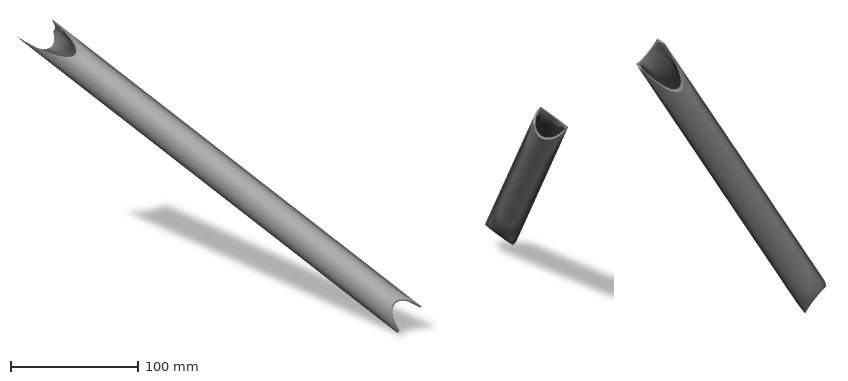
import cadquery as cq
import math


tube_radius = 14.0
wall = 1.6
cope_clearance = 0.01
cope_radius = tube_radius + cope_clearance

node_spacing_x = 357.1
node_spacing_yz = 201.3
face_angle = math.radians(-55.15)
lattice_angle = math.radians(60)

cope_reach = 100.0


def cross_direction(angle):
    """Unit vector in the YZ plane, at an angle measured from +Y towards +Z."""
    return cq.Vector(0, math.cos(angle), math.sin(angle))


chord_direction = cq.Vector(1, 0, 0)
post_direction = cross_direction(face_angle)

upper_node = chord_direction * (-node_spacing_x / 2) - post_direction * (node_spacing_yz / 2)
lower_node = upper_node * -1


def make_tube():
    """Plain tube from the upper node to the lower node."""
    axis = lower_node - upper_node
    plane = cq.Plane(origin=upper_node.toTuple(), normal=axis.normalized().toTuple())
    section = cq.Workplane(plane).circle(tube_radius).circle(tube_radius - wall)
    return section.extrude(axis.Length)


def branch_cutter(node, direction):
    """Cylinder leaving a node in one direction."""
    plane = cq.Plane(origin=node.toTuple(), normal=direction.toTuple())
    return cq.Workplane(plane).circle(cope_radius).extrude(cope_reach)


def chord_cutter(node):
    """Cylinder passing through a node along X, to both sides."""
    start = node - chord_direction * cope_reach
    plane = cq.Plane(origin=start.toTuple(), normal=chord_direction.toTuple())
    return cq.Workplane(plane).circle(cope_radius).extrude(2 * cope_reach)


def cope_end(tube, node, branch_directions):
    """Trim one tube end around the chord and the branches at its node."""
    tube = tube.cut(chord_cutter(node))
    for direction in branch_directions:
        tube = tube.cut(branch_cutter(node, direction))
    return tube


upper_branches = [
    post_direction,
    cross_direction(face_angle + lattice_angle),
]
lower_branches = [
    post_direction * -1,
    cross_direction(face_angle + lattice_angle),
    cross_direction(face_angle - lattice_angle),
]

coped_tube = cope_end(make_tube(), upper_node, upper_branches)
coped_tube = cope_end(coped_tube, lower_node, lower_branches)

tube_body = max(coped_tube.solids().vals(), key=lambda solid: solid.Volume())
result = cq.Workplane(tube_body)